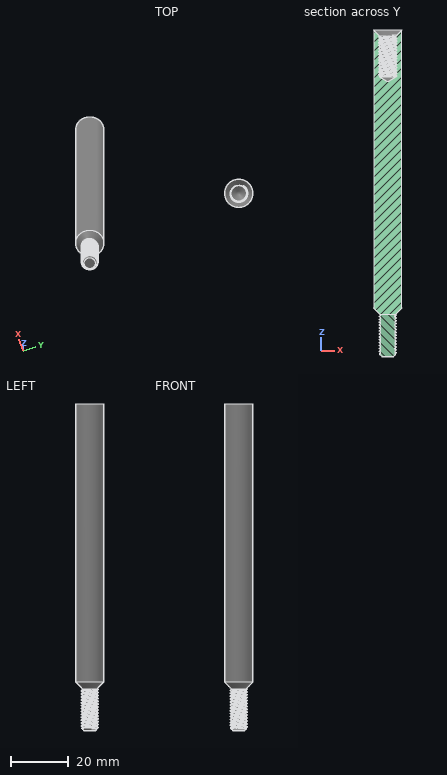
import cadquery as cq
import math

total_length = 112.8
rod_diameter = 9.8

thread_pitch = 1.0
land_share = 0.25
flank_steps = 6

stud_diameter = 6.0
stud_root_diameter = 5.1
stud_tip_diameter = 4.0
stud_land_angle = 180.0

shoulder_z = 16.8
stud_length = shoulder_z - (rod_diameter - stud_root_diameter) / 2

hole_root_diameter = 6.3
hole_bore_diameter = 5.5
hole_thread_length = stud_length
hole_land_angle = 240.0
drill_point_angle = 118.0


def revolve_profile(points):
    """Turn a closed (radius, z) outline around the Z axis."""
    return cq.Workplane("XZ").polyline(points).close().revolve(360, (0, 0, 0), (0, 1, 0))


def polar_point(radius, angle):
    return (radius * math.cos(math.radians(angle)), radius * math.sin(math.radians(angle)))


def flank_points(start_radius, start_angle, end_radius, end_angle):
    """Spiral points whose radius changes evenly with the angle, without the start point."""
    steps = [step / flank_steps for step in range(1, flank_steps + 1)]
    return [
        polar_point(
            start_radius + (end_radius - start_radius) * t,
            start_angle + (end_angle - start_angle) * t,
        )
        for t in steps
    ]


def threaded_bar(land_diameter, sharp_diameter, length, land_angle):
    """Right-hand threaded bar from z = 0: its cross-section, twisted one turn per pitch.

    The section has an arc on the land diameter and two spirals that meet opposite it in a
    corner on the sharp diameter. land_angle is the direction of the arc at the bar's upper end.
    """
    land_radius = land_diameter / 2
    sharp_radius = sharp_diameter / 2
    half_land = 360 * land_share / 2
    twist = 360 * length / thread_pitch
    section = (
        cq.Workplane("XY")
        .moveTo(*polar_point(land_radius, -half_land))
        .threePointArc(polar_point(land_radius, 0), polar_point(land_radius, half_land))
        .spline(flank_points(land_radius, half_land, sharp_radius, 180), includeCurrent=True)
        .spline(flank_points(sharp_radius, 180, land_radius, 360 - half_land), includeCurrent=True)
        .close()
    )
    bar = section.twistExtrude(length, twist)
    return bar.rotate((0, 0, 0), (0, 0, 1), land_angle - twist)


def make_rod():
    """Plain rod with a coned lower end and a countersunk, tapped blind hole in its top."""
    rod_radius = rod_diameter / 2
    bore_radius = hole_bore_diameter / 2
    mouth_bottom = total_length - (rod_radius - bore_radius)
    thread_top = total_length - (rod_radius - hole_root_diameter / 2)
    thread_bottom = thread_top - hole_thread_length
    drill_point_height = bore_radius / math.tan(math.radians(drill_point_angle / 2))
    body = revolve_profile([
        (0, stud_length),
        (stud_root_diameter / 2, stud_length),
        (rod_radius, shoulder_z),
        (rod_radius, total_length),
        (0, total_length),
    ])
    mouth = revolve_profile([
        (0, mouth_bottom),
        (bore_radius, mouth_bottom),
        (rod_radius, total_length),
        (0, total_length),
    ])
    drill_point = revolve_profile([
        (0, thread_bottom - drill_point_height),
        (bore_radius, thread_bottom),
        (0, thread_bottom),
    ])
    tap = threaded_bar(
        hole_bore_diameter, hole_root_diameter, hole_thread_length, hole_land_angle
    ).translate((0, 0, thread_bottom))
    return body.cut(mouth).cut(drill_point).cut(tap).solids()


def make_stud():
    """Threaded stud with a 45 degree chamfered tip, its flat top against the rod."""
    tip_radius = stud_tip_diameter / 2
    bar = threaded_bar(stud_root_diameter, stud_diameter, stud_length, stud_land_angle)
    envelope = revolve_profile([
        (0, 0),
        (tip_radius, 0),
        (tip_radius + stud_length, stud_length),
        (0, stud_length),
    ])
    return bar.intersect(envelope).solids()


rod = make_rod()
stud = make_stud()

result = cq.Compound.makeCompound([rod.val(), stud.val()])